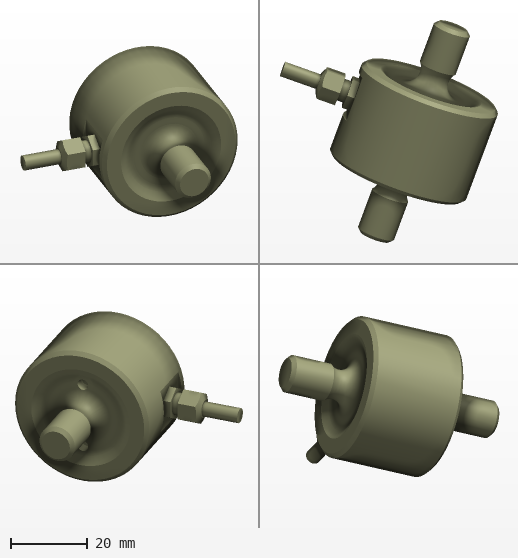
import cadquery as cq
import math


overall_length = 60.0
housing_diameter = 38.0
housing_width = 26.0
edge_chamfer = 1.0
stud_diameter = 10.0

recess_depth = 1.5
recess_mouth_radius = 14.0
recess_cone_radius = 11.6
floor_outer_radius = 9.9
floor_inner_radius = 8.0
neck_arc_radius = 4.0

spanner_hole_diameter = 3.0
spanner_hole_depth = 3.0
spanner_hole_offset = 9.0
drill_point_angle = 118.0

outlet_x = 4.0
flat_distance = 18.0
flat_width = 12.2
hex_across_flats = 8.0
base_hex_length = 2.0
gland_neck_diameter = 6.0
gland_neck_length = 2.05
nut_length = 6.0
nut_tip_diameter = 4.9
nut_cone_slope = 0.5
cable_diameter = 4.0
cable_end_distance = 38.0

housing_radius = housing_diameter / 2
half_width = housing_width / 2
stud_radius = stud_diameter / 2
floor_x = half_width - recess_depth
gland_length = base_hex_length + gland_neck_length + nut_length
hex_across_corners = hex_across_flats * 2 / math.sqrt(3)


def make_chamfered_bar(length, radius):
    """Round bar centred on the load axis, chamfered at both ends."""
    bar = cq.Workplane("YZ", origin=(-length / 2, 0, 0)).circle(radius).extrude(length)
    return bar.faces("<X or >X").chamfer(edge_chamfer)


def make_recess_cutter():
    """Ring of material removed around the +X stud: the recess and the stud neck."""
    arc_center_x = floor_x + neck_arc_radius
    stud_start_angle = math.asin((floor_inner_radius - stud_radius) / neck_arc_radius)
    stud_start_x = arc_center_x + neck_arc_radius * math.cos(stud_start_angle)

    fillet_span = recess_cone_radius - floor_outer_radius
    wall_span = recess_mouth_radius - recess_cone_radius
    low_angle = 0.0
    high_angle = math.pi / 4
    for _ in range(40):
        wall_angle = (low_angle + high_angle) / 2
        depth = fillet_span * math.tan(wall_angle / 2) + wall_span * math.tan(wall_angle)
        if depth < recess_depth:
            low_angle = wall_angle
        else:
            high_angle = wall_angle
    wall_start_x = half_width - wall_span * math.tan(wall_angle)

    return (
        cq.Workplane("XY")
        .moveTo(stud_start_x, stud_radius)
        .threePointArc(
            (arc_center_x, floor_inner_radius - neck_arc_radius),
            (floor_x, floor_inner_radius),
        )
        .lineTo(floor_x, floor_outer_radius)
        .tangentArcPoint((wall_start_x, recess_cone_radius), relative=False)
        .lineTo(half_width, recess_mouth_radius)
        .lineTo(stud_start_x, recess_mouth_radius)
        .close()
        .revolve(360, (0, 0, 0), (1, 0, 0))
    )


def make_spanner_hole(z):
    """Drill shape with a pointed end, entering the -X recess floor."""
    hole_radius = spanner_hole_diameter / 2
    point_length = hole_radius / math.tan(math.radians(drill_point_angle / 2))
    hole_end_x = spanner_hole_depth - floor_x
    return (
        cq.Workplane("XY")
        .moveTo(-half_width, 0)
        .lineTo(-half_width, hole_radius)
        .lineTo(hole_end_x, hole_radius)
        .lineTo(hole_end_x + point_length, 0)
        .close()
        .revolve(360, (0, 0, 0), (1, 0, 0))
        .translate((0, 0, z))
    )


def make_housing():
    drum = make_chamfered_bar(housing_width, housing_radius)
    studs = make_chamfered_bar(overall_length, stud_radius)
    recess_cutter = make_recess_cutter()
    housing = drum.union(studs).cut(recess_cutter).cut(recess_cutter.mirror("YZ"))
    for side in (-1, 1):
        housing = housing.cut(make_spanner_hole(side * spanner_hole_offset))
    flat_cutter = cq.Workplane("XY").box(
        flat_width, housing_radius, housing_diameter, centered=(True, False, True)
    )
    return housing.cut(flat_cutter.translate((outlet_x, -flat_distance - housing_radius, 0)))


def outlet_plane(distance):
    """Workplane on the outlet axis facing -Y, at a distance from the load axis."""
    return cq.Workplane("XZ", origin=(outlet_x, -distance, 0))


def make_hex(distance, length):
    """Hexagonal bar along the outlet axis, with corners at +Z and -Z."""
    return (
        outlet_plane(distance)
        .transformed(rotate=(0, 0, 90))
        .polygon(6, hex_across_corners)
        .extrude(length)
    )


def make_gland():
    neck_start = flat_distance + base_hex_length
    nut_start = neck_start + gland_neck_length
    base = make_hex(flat_distance, base_hex_length)
    neck = outlet_plane(neck_start).circle(gland_neck_diameter / 2).extrude(gland_neck_length)
    corner_radius = hex_across_corners / 2
    tip_radius = nut_tip_diameter / 2
    cone_length = (corner_radius - tip_radius) * nut_cone_slope
    nut_end_y = -(nut_start + nut_length)
    envelope = (
        cq.Workplane("XY")
        .moveTo(0, -nut_start)
        .lineTo(corner_radius, -nut_start)
        .lineTo(corner_radius, nut_end_y + cone_length)
        .lineTo(tip_radius, nut_end_y)
        .lineTo(0, nut_end_y)
        .close()
        .revolve(360, (0, 0, 0), (0, 1, 0))
        .translate((outlet_x, 0, 0))
    )
    nut = make_hex(nut_start, nut_length).intersect(envelope)
    return base.union(neck).union(nut)


def make_cable():
    """Cable stub butting against the outer face of the gland."""
    cable_start = flat_distance + gland_length
    cable_length = cable_end_distance - cable_start
    return outlet_plane(cable_start).circle(cable_diameter / 2).extrude(cable_length)


housing = make_housing()
gland = make_gland()
cable = make_cable()

result = cq.Compound.makeCompound([*housing.solids().vals(), *gland.solids().vals(), cable.val()])